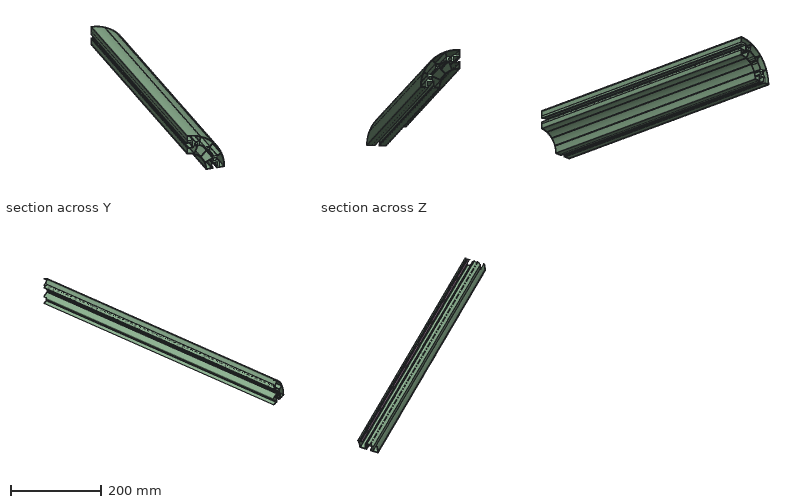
import cadquery as cq
import math

length = 609.5
outer_radius = 89.5
inner_radius = 45.0
wall = 2.0
corner_radius = 2.0
middle_radius = 69.5
rib_angles = (22.5, 45.0, 67.5)

slot_centre = 66.5
slot_opening = 9.0
slot_width = 13.0
slot_depth = 14.0
lip = 3.5
slot_outer_wall = 4.0
slot_inner_wall = 2.0
slot_floor = 2.0

block_inner = 61.5
block_outer = 72.0
block_end = 29.0
block_lean = 2.0
block_shoulder = 21.0
block_hole_place = 22.0
screw_hole_diameter = 7.5

boss_corner = 55.5
boss_side = 10.0
boss_gusset = 13.0
boss_hole_diameter = 6.0


def extruded(sketch):
    """Extrude a closed Y-Z sketch over the full length, centred on X."""
    return sketch.extrude(length / 2, both=True)


def plane():
    return cq.Workplane("YZ")


def mirrored(body):
    """Swap Y and Z by a half turn; bodies here are symmetric in X."""
    return body.rotate((0, 0, 0), (0, 1, 1), 180)


def quarter_ring(inside, outside):
    diagonal = math.sqrt(0.5)
    return extruded(
        plane()
        .moveTo(inside, 0)
        .lineTo(outside, 0)
        .threePointArc((outside * diagonal, outside * diagonal), (0, outside))
        .lineTo(0, inside)
        .threePointArc((inside * diagonal, inside * diagonal), (inside, 0))
        .close()
    )


def box(y_start, y_end, z_start, z_end):
    return extruded(
        plane()
        .center((y_start + y_end) / 2, (z_start + z_end) / 2)
        .rect(y_end - y_start, z_end - z_start)
    )


def hole(y, z, diameter):
    return extruded(plane().center(y, z).circle(diameter / 2))


def rib(angle):
    start = inner_radius + wall / 2
    end = outer_radius - wall / 2
    return box(start, end, -wall / 2, wall / 2).rotate((0, 0, 0), (1, 0, 0), angle)


def end_body():
    """Face wall, slot walls and screw block at the Y = 0 end."""
    slot_top = slot_centre + slot_width / 2 + slot_outer_wall
    slot_bottom = slot_centre - slot_width / 2 - slot_inner_wall
    face = box(0, wall, inner_radius, outer_radius)
    slot_block = extruded(
        plane().polyline([
            (0, slot_bottom),
            (slot_depth + slot_floor, slot_bottom),
            (slot_depth + slot_floor, block_inner),
            (block_end, block_inner),
            (block_end + block_lean, block_outer),
            (block_shoulder, block_outer),
            (slot_depth, slot_top),
            (0, slot_top),
        ]).close()
    )
    return face.union(slot_block)


def end_cuts():
    """T-slot and screw hole at the Y = 0 end."""
    opening = box(0, lip, slot_centre - slot_opening / 2, slot_centre + slot_opening / 2)
    slot = box(lip, slot_depth, slot_centre - slot_width / 2, slot_centre + slot_width / 2)
    screw_hole = hole(block_hole_place, slot_centre, screw_hole_diameter)
    return opening.union(slot).union(screw_hole)


def boss():
    square = box(boss_corner - boss_side, boss_corner, boss_corner - boss_side, boss_corner)
    gusset = extruded(
        plane().polyline([
            (boss_corner, boss_corner),
            (boss_corner - boss_gusset, boss_corner),
            (boss_corner, boss_corner - boss_gusset),
        ]).close()
    )
    return square.union(gusset)


envelope = quarter_ring(inner_radius, outer_radius).edges("|X").fillet(corner_radius)

body = quarter_ring(outer_radius - wall, outer_radius)
body = body.union(quarter_ring(inner_radius, inner_radius + wall))
body = body.union(quarter_ring(middle_radius - wall / 2, middle_radius + wall / 2))
for angle in rib_angles:
    body = body.union(rib(angle))
body = body.union(boss()).union(end_body()).union(mirrored(end_body()))

body = body.cut(end_cuts()).cut(mirrored(end_cuts()))
boss_hole_place = boss_corner - boss_side / 2
body = body.cut(hole(boss_hole_place, boss_hole_place, boss_hole_diameter))

result = body.intersect(envelope)